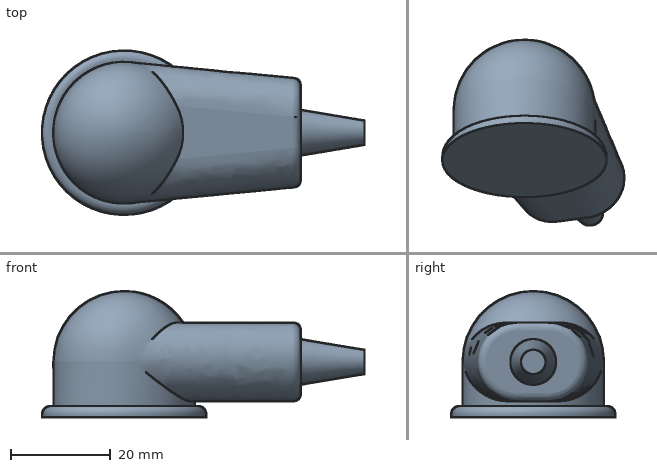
import cadquery as cq

total_length = 64.8
total_height = 25.4

flange_radius = 16.5
flange_height = 2.3
flange_round = 1.75

dome_radius = 14.25
dome_center_z = total_height - dome_radius

arm_height = 15.8
arm_end_width = 21.75
arm_end_x = 35.5
arm_end_round = 1.55
arm_start_width = 2 * dome_radius

sleeve_large_radius = 4.6
sleeve_small_radius = 2.45
sleeve_end_x = total_length - flange_radius


def make_flange():
    disc = cq.Workplane("XY").circle(flange_radius).extrude(flange_height)
    return disc.faces(">Z").edges().fillet(flange_round)


def make_dome():
    """Cylinder capped by a hemisphere, revolved about Z."""
    half_profile = (
        cq.Workplane("XZ")
        .lineTo(dome_radius, 0)
        .lineTo(dome_radius, dome_center_z)
        .radiusArc((0, dome_center_z + dome_radius), -dome_radius)
        .close()
    )
    return half_profile.revolve(360, (0, 0, 0), (0, 1, 0))


def make_arm():
    """Loft between two slot sections of equal height, rounded at the outer end."""
    arm = (
        cq.Workplane("YZ", origin=(0, 0, dome_center_z))
        .slot2D(arm_start_width, arm_height)
        .workplane(offset=arm_end_x)
        .slot2D(arm_end_width, arm_height)
        .loft(ruled=True)
    )
    return arm.faces(">X").edges().fillet(arm_end_round)


def make_sleeve():
    """Cone that starts on the arm's end face."""
    return (
        cq.Workplane("YZ", origin=(arm_end_x, 0, dome_center_z))
        .circle(sleeve_large_radius)
        .workplane(offset=sleeve_end_x - arm_end_x)
        .circle(sleeve_small_radius)
        .loft(ruled=True)
    )


result = make_flange().union(make_dome()).union(make_arm()).union(make_sleeve())